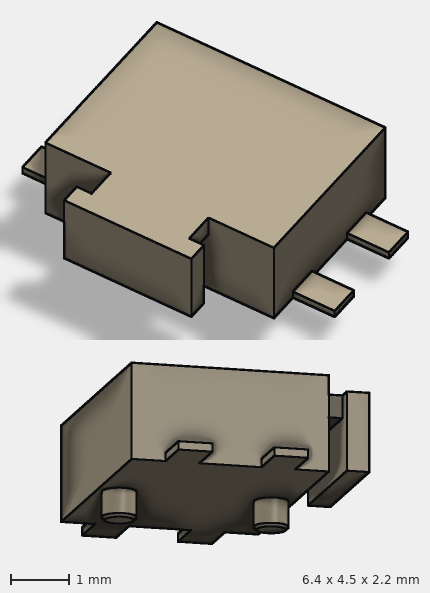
import cadquery as cq

body_width = 4.685
body_depth = 3.5
body_height = 1.7

span = 6.4
terminal_width = 0.6
terminal_thickness = 0.15
terminal_pitch = 1.7
rear_terminal_inset = 0.9

stem_width = 2.0
stem_length = 0.6
stem_thickness = 0.4
button_width = 2.605
button_thickness = 0.4
button_height = 1.4

peg_diameter = 0.6
peg_length = 0.5
peg_chamfer = 0.05
peg_pitch = 2.7
rear_peg_inset = 0.4


def block(width, depth, height, x_center, y_front, z_bottom):
    """Box centred on x_center, running back from y_front and up from z_bottom."""
    box = cq.Workplane("XY").box(width, depth, height, centered=(True, False, False))
    return box.translate((x_center, y_front, z_bottom))


def terminal_pair(y_center):
    """One strip across the housing forms the left and right terminals."""
    return block(span, terminal_width, terminal_thickness, 0, y_center - terminal_width / 2, 0)


def peg(y_center):
    """Round peg hanging below the housing, chamfered at its tip."""
    return (
        cq.Workplane("XY")
        .center(0, y_center)
        .circle(peg_diameter / 2)
        .extrude(-peg_length)
        .faces("<Z")
        .chamfer(peg_chamfer)
    )


result = block(body_width, body_depth, body_height, 0, 0, 0)

rear_terminal_y = body_depth - rear_terminal_inset
for terminal_y in (rear_terminal_y, rear_terminal_y - terminal_pitch):
    result = result.union(terminal_pair(terminal_y))

rear_peg_y = body_depth - rear_peg_inset
for peg_y in (rear_peg_y, rear_peg_y - peg_pitch):
    result = result.union(peg(peg_y))

stem = block(stem_width, stem_length, stem_thickness, 0, -stem_length, body_height - stem_thickness)
button_front = -stem_length - button_thickness
button = block(button_width, button_thickness, button_height, 0, button_front, body_height - button_height)
result = result.union(stem).union(button)